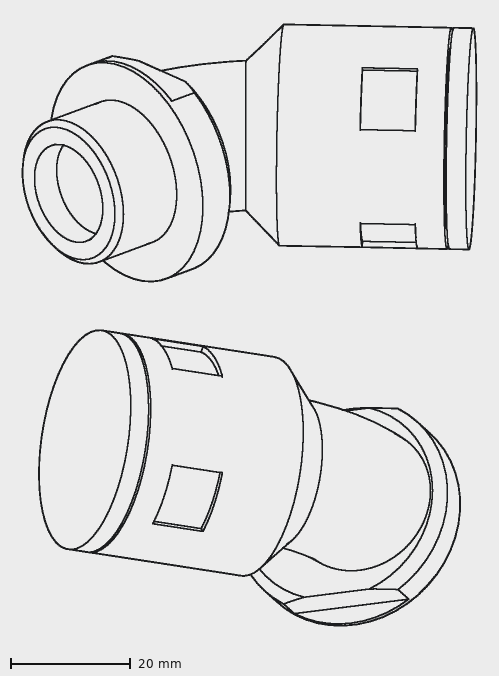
import cadquery as cq
import math

spigot_diameter = 25.0
spigot_length = 13.0
spigot_chamfer = 1.0
bore_diameter = 17.0
bore_depth = 5.0

flange_diameter = 38.0
flange_top = 21.0
flange_chamfer = 1.95
flat_spacing = 32.1
flat_start = 14.0

bend_angle = 45.0
end_x = 28.5
end_y = 64.8
socket_diameter = 37.0
socket_length = 31.6
cap_thickness = 3.3
groove_width = 0.4
groove_diameter = 31.0

window_offset = 8.6
window_length = 9.2
window_width = 11.05
window_depth = 1.0
window_angles = (45, 135, 225, 315)

pipe_diameter = spigot_diameter
bend_radius = 35.8
cone_tip_diameter = 23.0
cone_length = (socket_diameter - cone_tip_diameter) / 2

axis_x = math.sin(math.radians(bend_angle))
axis_y = math.cos(math.radians(bend_angle))
elbow_end_x = end_x - socket_length * axis_x
elbow_end_y = end_y - socket_length * axis_y
elbow_start_x = elbow_end_x - bend_radius * (1 - axis_y)
elbow_start_y = elbow_end_y - bend_radius * axis_x


def make_fitting_base():
    """Spigot and flange turned about Y, with the flats and the blind bore."""
    spigot_radius = spigot_diameter / 2
    flange_radius = flange_diameter / 2
    base = (
        cq.Workplane("XY")
        .polyline([
            (0, 0),
            (spigot_radius - spigot_chamfer, 0),
            (spigot_radius, spigot_chamfer),
            (spigot_radius, spigot_length),
            (flange_radius, spigot_length),
            (flange_radius, flange_top - flange_chamfer),
            (flange_radius - flange_chamfer, flange_top),
            (0, flange_top),
        ])
        .close()
        .revolve(360, (0, 0, 0), (0, 1, 0))
    )
    flat_height = flange_top - flat_start
    for side in (-1, 1):
        flat_cut = cq.Workplane("XY").box(
            flange_diameter, flat_height, flange_diameter, centered=(True, False, True)
        )
        flat_z = side * (flat_spacing + flange_diameter) / 2
        base = base.cut(flat_cut.translate((0, flat_start, flat_z)))
    bore = cq.Workplane("XZ").circle(bore_diameter / 2).extrude(-bore_depth)
    return base.cut(bore)


def make_elbow():
    """Pipe bent in the XY plane, from inside the flange to the wide end of the cone."""
    return (
        cq.Workplane("XZ", origin=(elbow_start_x, elbow_start_y, 0))
        .circle(pipe_diameter / 2)
        .revolve(bend_angle, (bend_radius, 0.8, 0), (bend_radius, 0, 0))
    )


def make_socket():
    """Cone, cylinder and grooved cap, turned about the inclined axis."""
    tip_x = elbow_end_x - cone_length * axis_x
    tip_y = elbow_end_y - cone_length * axis_y
    socket_plane = cq.Plane(
        origin=(tip_x, tip_y, 0), xDir=(0, 0, 1), normal=(axis_x, axis_y, 0)
    )
    socket_radius = socket_diameter / 2
    groove_radius = groove_diameter / 2
    total_length = cone_length + socket_length
    groove_top = total_length - cap_thickness
    groove_bottom = groove_top - groove_width
    socket = (
        cq.Workplane("XZ")
        .polyline([
            (0, 0),
            (cone_tip_diameter / 2, 0),
            (socket_radius, cone_length),
            (socket_radius, groove_bottom),
            (groove_radius, groove_bottom),
            (groove_radius, groove_top),
            (socket_radius, groove_top),
            (socket_radius, total_length),
            (0, total_length),
        ])
        .close()
        .revolve(360, (0, 0, 0), (0, 1, 0))
    )
    window_start = total_length - window_offset - window_length
    wall_ring = (
        cq.Workplane("XY", origin=(0, 0, window_start))
        .circle(socket_radius)
        .circle(socket_radius - window_depth)
        .extrude(window_length)
    )
    for angle in window_angles:
        block = (
            cq.Workplane("XY", origin=(0, 0, window_start))
            .box(socket_diameter, window_width, window_length, centered=(False, True, False))
            .rotate((0, 0, 0), (0, 0, 1), angle)
        )
        socket = socket.cut(wall_ring.intersect(block))
    return cq.Workplane(obj=socket.val().moved(cq.Location(socket_plane)))


result = make_fitting_base().union(make_elbow()).union(make_socket())